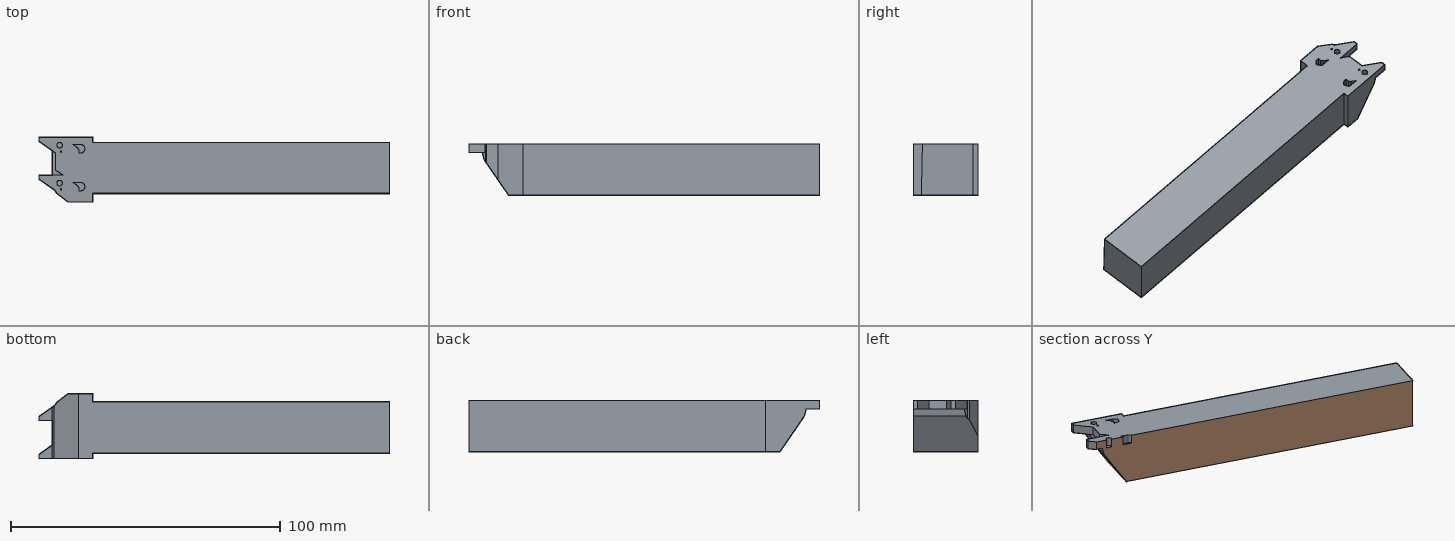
import cadquery as cq

length = 130.0
height = 19.1

shank_inset = 2.0
shank_width = 19.1
shank_draft = 0.4

head_width = 24.0
head_end = 20.0
nose_x = 5.0
nose_break_x = 5.6
nose_break_depth = 5.8
relief_end_x = 14.7
flank_start_y = -18.8
flank_kink = (6.1, -20.0)
flank_corner = (6.5, -20.8)
flank_end_x = 10.8

insert_pitch = 14.0
insert_depth = 3.2
insert_width = 5.8
tip_width = 1.5
insert_shoulder_x = 9.0
insert_heel_x = 6.1
insert_end_x = 14.8
insert_end_chamfer_x = 14.3
insert_end_chamfer_y = -3.9
insert_end_side_y = -4.7

slot_width = 3.1
slot_end_x = 17.0

gap_wall_x = 6.1
gap_wall_end_y = -12.2

screw_x = 7.7
screw_y = -3.0
screw_diameter = 2.1
pin_x = 8.2
pin_y = -5.3
pin_diameter = 0.5


def make_shank():
    """Square bar with a slight draft on its -Y side."""
    low_y = -shank_inset - shank_width
    return (
        cq.Workplane("YZ")
        .workplane(offset=head_end)
        .polyline([
            (-shank_inset, 0),
            (-shank_inset, -height),
            (low_y, -height),
            (low_y + shank_draft, 0),
        ])
        .close()
        .extrude(length - head_end)
    )


def make_head():
    """Head with an angled front flank, relieved underneath toward the nose."""
    plan = (
        cq.Workplane("XY")
        .polyline([
            (nose_x, 0),
            (head_end, 0),
            (head_end, -head_width),
            (flank_end_x, -head_width),
            flank_corner,
            flank_kink,
            (nose_x, flank_start_y),
        ])
        .close()
        .extrude(-height)
    )
    side = (
        cq.Workplane("XZ")
        .polyline([
            (nose_x, 0),
            (head_end, 0),
            (head_end, -height),
            (relief_end_x, -height),
            (nose_break_x, -nose_break_depth),
            (nose_x, -insert_depth),
        ])
        .close()
        .extrude(head_width)
    )
    return plan.intersect(side)


def make_gap_pocket():
    """Open pocket in front of the wall that joins the two inserts."""
    return (
        cq.Workplane("XY")
        .polyline([
            (0, 0),
            (gap_wall_x, 0),
            (gap_wall_x, gap_wall_end_y),
            (insert_shoulder_x, -insert_pitch),
            (insert_shoulder_x, -insert_pitch - tip_width),
            (insert_heel_x, -insert_pitch - insert_width),
            (0, -insert_pitch - insert_width),
        ])
        .close()
        .extrude(-insert_depth)
    )


def make_slot(top_y):
    """Round-ended pocket behind an insert."""
    radius = slot_width / 2
    center_x = slot_end_x - radius
    center_y = top_y - insert_width + radius
    straight = (
        cq.Workplane("XY")
        .center(insert_shoulder_x, center_y)
        .rect(2 * (center_x - insert_shoulder_x), slot_width)
        .extrude(-insert_depth)
    )
    round_end = cq.Workplane("XY").center(center_x, center_y).circle(radius).extrude(-insert_depth)
    return straight.union(round_end)


def make_insert(top_y):
    """Pointed cutting insert, flush with the top of the head."""
    return (
        cq.Workplane("XY")
        .polyline([
            (0, top_y),
            (insert_shoulder_x, top_y),
            (insert_end_chamfer_x, top_y + insert_end_chamfer_y),
            (insert_end_x, top_y + insert_end_side_y),
            (insert_end_x, top_y - insert_width),
            (insert_heel_x, top_y - insert_width),
            (0, top_y - tip_width),
        ])
        .close()
        .extrude(-insert_depth)
    )


def cut_insert_holes(body, top_y):
    """Screw hole and small pin hole, as deep as the insert."""
    screw_point = (screw_x, top_y + screw_y)
    bore = cq.Workplane("XY").center(*screw_point).circle(screw_diameter / 2).extrude(-insert_depth)
    pin = cq.Workplane("XY").center(pin_x, top_y + pin_y).circle(pin_diameter / 2).extrude(-insert_depth)
    return body.cut(bore).cut(pin)


result = make_head().cut(make_gap_pocket()).union(make_shank())
for top_y in (0, -insert_pitch):
    result = result.cut(make_slot(top_y)).union(make_insert(top_y))
    result = cut_insert_holes(result, top_y)